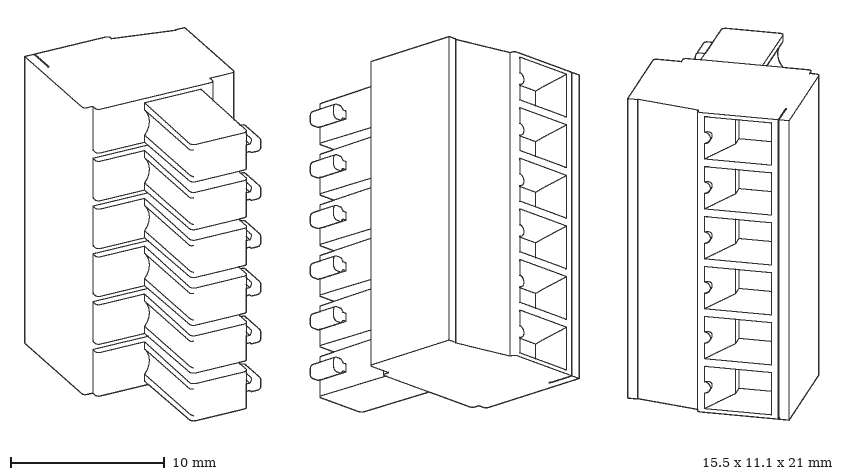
import cadquery as cq
import math

poles = 6
height = 21.0
pitch = height / poles

depth = 11.1
shoulder_x = 8.3
flange_x = 8.88
flange_y = (0.67, 9.26)
top_lip_x = 1.2
lip_thickness = flange_y[0]
slope_top_x = 1.25
slope_bottom_x = 0.38
nose_y = 6.17
corner_radius = 0.25
seam_gap = 0.06
insert_depth = 2.0

finger_end_x = 15.5
finger_y = (4.15, 8.3)
finger_gap = 0.6
finger_root = pitch - finger_gap
finger_tip = 2.73
finger_radius = 0.32
groove_diameter = 2.8
groove_width = 1.85

lug_x = (12.98, 15.22)
lug_neck_y = 8.57
lug_flare_y = 8.8
lug_radius = 0.3
lug_top_y = 9.5
lug_neck = 0.55
lug_head = 1.0

mouth_y = (1.2, 5.67)
mouth_height = 2.96
throat_y = (1.36, 4.07)
throat_height = 2.1
floor_y = (1.36, 4.01)
floor_depth = 2.6
side_slope = (mouth_height - throat_height) / insert_depth
floor_height = mouth_height - side_slope * floor_depth
pin_diameter = 0.8

pole_heights = [pitch * (pole + 0.5) for pole in range(poles)]


def make_housing():
    """Full-height housing with a lip, a sloped front and a stepped back."""
    low, high = flange_y
    outline = (
        cq.Workplane("XY")
        .moveTo(0, 0)
        .lineTo(shoulder_x, 0)
        .lineTo(shoulder_x, low)
        .lineTo(flange_x, low)
        .lineTo(flange_x, high)
        .lineTo(shoulder_x, high)
        .lineTo(shoulder_x, depth)
        .lineTo(top_lip_x, depth)
        .lineTo(top_lip_x, depth - lip_thickness)
        .lineTo(slope_top_x, depth - lip_thickness)
        .lineTo(slope_bottom_x, nose_y)
        .lineTo(corner_radius, nose_y)
        .radiusArc((0, nose_y - corner_radius), -corner_radius)
        .close()
    )
    housing = outline.extrude(height)
    rounded_corners = [(shoulder_x, 0), (flange_x, low), (flange_x, high), (shoulder_x, depth)]
    for x, y in rounded_corners:
        corner = cq.selectors.NearestToPointSelector((x, y, height / 2))
        housing = housing.edges("|Z").edges(corner).fillet(corner_radius)
    return housing


def box_between(x_range, y_range, z_range):
    """Box spanning the three given (low, high) ranges."""
    sizes = [high - low for low, high in (x_range, y_range, z_range)]
    corner = (x_range[0], y_range[0], z_range[0])
    return cq.Workplane("XY").box(*sizes, centered=False).translate(corner)


def make_funnel_stage(start_x, end_x, start_y, end_y, start_height, end_height):
    """Tapered passage between two rectangles, centred on Z = 0."""
    return (
        cq.Workplane("YZ", origin=(start_x, 0, 0))
        .center(sum(start_y) / 2, 0)
        .rect(start_y[1] - start_y[0], start_height)
        .workplane(offset=end_x - start_x)
        .center((sum(end_y) - sum(start_y)) / 2, 0)
        .rect(end_y[1] - end_y[0], end_height)
        .loft(ruled=True)
    )


def make_funnel():
    """Wire entry: a wide funnel, then a shallow well, with a pin left standing at its back edge."""
    funnel = make_funnel_stage(0, insert_depth, mouth_y, throat_y, mouth_height, throat_height)
    well = make_funnel_stage(insert_depth, floor_depth, throat_y, floor_y, throat_height, floor_height)
    pin = (
        cq.Workplane("YZ")
        .center(mouth_y[1], 0)
        .circle(pin_diameter / 2)
        .extrude(insert_depth)
    )
    return funnel.union(well).cut(pin)


def make_finger():
    """Tapered finger with a rounded tip and a lengthwise groove on its front, centred on Z = 0."""
    front, back = finger_y
    finger = (
        cq.Workplane("XZ", origin=(0, back, 0))
        .moveTo(shoulder_x, -finger_root / 2)
        .lineTo(flange_x, -finger_root / 2)
        .lineTo(finger_end_x, -finger_tip / 2)
        .lineTo(finger_end_x, finger_tip / 2)
        .lineTo(flange_x, finger_root / 2)
        .lineTo(shoulder_x, finger_root / 2)
        .close()
        .extrude(back - front)
    )
    groove_radius = groove_diameter / 2
    axis_drop = math.sqrt(groove_radius**2 - (groove_width / 2) ** 2)
    groove = (
        cq.Workplane("YZ", origin=(flange_x, 0, 0))
        .center(front - axis_drop, 0)
        .circle(groove_radius)
        .extrude(finger_end_x - flange_x)
    )
    return finger.cut(groove).faces(">X").edges("not |Y").fillet(finger_radius)


def make_lug():
    """Mushroom-shaped coding rib with a rounded head along the back of a finger, centred on Z = 0."""
    half_outline = [
        (finger_y[1] - finger_radius, lug_neck / 2),
        (lug_neck_y, lug_neck / 2),
        (lug_flare_y, lug_head / 2),
        (lug_top_y, lug_head / 2),
    ]
    mirrored = [(y, -z) for y, z in reversed(half_outline)]
    lug = (
        cq.Workplane("YZ", origin=(lug_x[0], 0, 0))
        .polyline(half_outline + mirrored)
        .close()
        .extrude(lug_x[1] - lug_x[0])
    )
    head_end = cq.selectors.BoxSelector(
        (lug_x[1] - lug_radius, lug_flare_y, -lug_head),
        (lug_x[1] + lug_radius, lug_top_y + lug_radius, lug_head),
    )
    crown = cq.selectors.BoxSelector(
        (lug_x[0] + lug_radius, lug_top_y - lug_radius, -lug_head),
        (lug_x[1] - lug_radius, lug_top_y + lug_radius, lug_head),
    )
    return lug.edges(head_end + crown).fillet(lug_radius)


result = make_housing()

result = result.cut(
    box_between((0, insert_depth), (lip_thickness, lip_thickness + seam_gap), (0, height))
)

for pole in range(1, poles):
    slot_z = (pole * pitch - finger_gap / 2, pole * pitch + finger_gap / 2)
    result = result.cut(box_between((shoulder_x, flange_x), flange_y, slot_z))

funnel = make_funnel()
finger = make_finger().union(make_lug())
for z in pole_heights:
    result = result.cut(funnel.translate((0, 0, z)))
    result = result.union(finger.translate((0, 0, z)))